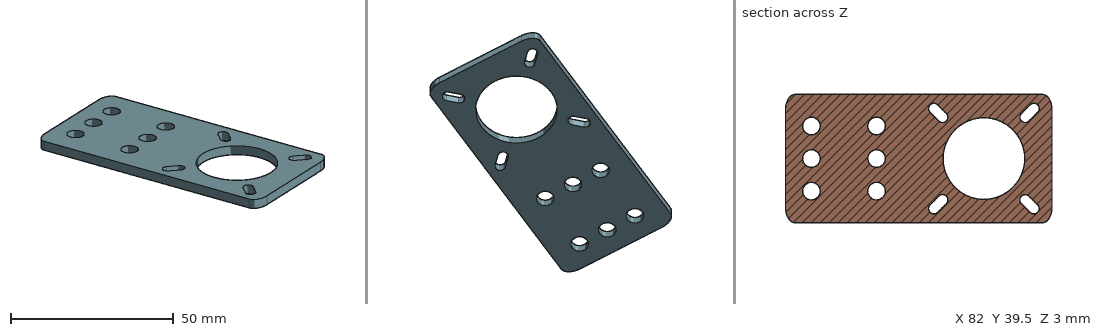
import cadquery as cq

length = 82.0
width = 39.5
thickness = 3.0
corner_along_x = 3.0
corner_along_y = 5.0

hole_diameter = 5.3
hole_pitch_y = 10.0
hole_column_spacing = 2 * hole_pitch_y
first_column_x = -33.0

motor_x = 20.0
motor_opening_diameter = 25.0
slot_offset = 14.0
slot_length = 7.0
slot_width = 3.2


def make_plate():
    """Plate with quarter-ellipse corners: two crossed bars plus an elliptical post at each corner."""
    flat_length = length - 2 * corner_along_x
    flat_width = width - 2 * corner_along_y
    long_edge_bar = cq.Workplane("XY").rect(flat_length, width).extrude(thickness)
    end_edge_bar = cq.Workplane("XY").rect(length, flat_width).extrude(thickness)
    corner_posts = (
        cq.Workplane("XY")
        .rect(flat_length, flat_width, forConstruction=True)
        .vertices()
        .ellipse(corner_along_x, corner_along_y)
        .extrude(thickness)
    )
    return long_edge_bar.union(end_edge_bar).union(corner_posts).clean()


def make_mounting_holes():
    centres = [
        (first_column_x + column * hole_column_spacing, row * hole_pitch_y)
        for column in (0, 1)
        for row in (-1, 0, 1)
    ]
    return cq.Workplane("XY").pushPoints(centres).circle(hole_diameter / 2).extrude(thickness)


def make_slot(side_x, side_y):
    """Slot pointing radially away from the motor centre."""
    angle = 45 * side_x * side_y
    return (
        cq.Workplane("XY")
        .center(motor_x + side_x * slot_offset, side_y * slot_offset)
        .slot2D(slot_length, slot_width, angle)
        .extrude(thickness)
    )


motor_opening = cq.Workplane("XY").center(motor_x, 0).circle(motor_opening_diameter / 2).extrude(thickness)

result = make_plate().cut(make_mounting_holes()).cut(motor_opening)
for side_x in (-1, 1):
    for side_y in (-1, 1):
        result = result.cut(make_slot(side_x, side_y))